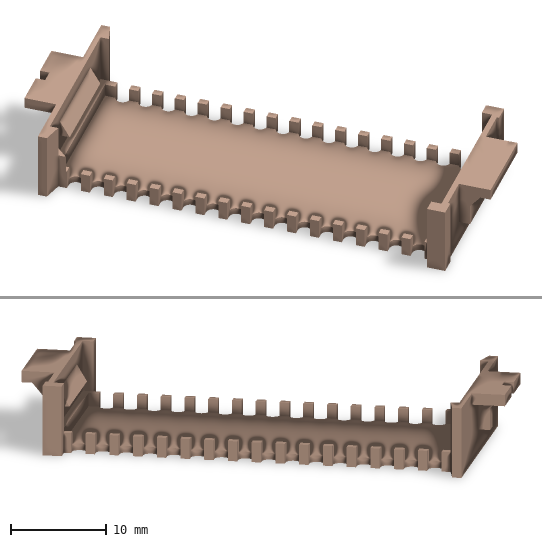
import cadquery as cq

LENGTH = 51.7
WIDTH = 21.0
HEIGHT = 7.6

WALL_OUTER_X = 22.3
WALL_THICKNESS = 0.6
WALL_INNER_X = WALL_OUTER_X - WALL_THICKNESS
WING_TIP_THICKNESS = 1.0
WING_ROOT_THICKNESS = 1.55
EAR_INNER_X = 20.55
EAR_OUTER_X = 22.6
EAR_HALF_WIDTH = 9.75
EAR_STEP_Y = 8.05

FLOOR_THICKNESS = 0.7
RIM_HEIGHT = 2.15
RIM_THICKNESS = 0.8
BODY_HALF_WIDTH = 8.35
RIM_HALF_LENGTH = WALL_INNER_X - RIM_THICKNESS
RIM_HALF_WIDTH = BODY_HALF_WIDTH - RIM_THICKNESS

SLOT_COUNT = 16
SLOT_ROW_SPAN = 38.1
SLOT_PITCH = SLOT_ROW_SPAN / (SLOT_COUNT - 1)
SLOT_RADIUS = 0.8
SLOT_CENTRE_Y = 7.8

TAB_THICKNESS = 1.25
TAB_WIDTH = 8.9
TAB_BOTTOM = HEIGHT - TAB_THICKNESS
NOTCH_DEPTH = 1.05
NOTCH_WIDTH = 1.4
RIB_BOTTOM = 2.65
RIB_SHOULDER = 5.0
RIB_OUTER_X = 23.55
RIB_TOP_X = 24.7

WEDGE_WIDTH = 10.15
WEDGE_DEPTH = 1.1
WEDGE_BOTTOM = 4.15
WEDGE_TOP = 5.95

GUSSET_LEG = 1.75
GUSSET_HEIGHT = 4.05


def block(x_range, y_range, z_range):
    """Box spanning the given limits along each axis."""
    (x0, x1), (y0, y1), (z0, z1) = x_range, y_range, z_range
    return cq.Workplane("XY").box(x1 - x0, y1 - y0, z1 - z0, centered=False).translate((x0, y0, z0))


def upright(points, height):
    """Outline in the XY plane raised from the underside."""
    return cq.Workplane("XY").polyline(points).close().extrude(height)


def side_profile(points, width):
    """Outline in the XZ plane widened equally to both sides of Y = 0."""
    return cq.Workplane("XZ").polyline(points).close().extrude(width / 2, both=True)


def slotted_tray():
    """Floor with a low rim, its long sides cut into posts by round-ended slots."""
    body_y = (-BODY_HALF_WIDTH, BODY_HALF_WIDTH)
    tray = block((-WALL_INNER_X, WALL_INNER_X), body_y, (0, RIM_HEIGHT))
    tray = tray.cut(block(
        (-RIM_HALF_LENGTH, RIM_HALF_LENGTH),
        (-RIM_HALF_WIDTH, RIM_HALF_WIDTH),
        (FLOOR_THICKNESS, RIM_HEIGHT),
    ))
    slot_end_y = BODY_HALF_WIDTH + SLOT_RADIUS
    for side in (-1, 1):
        slots = (
            cq.Workplane("XY")
            .center(0, side * (SLOT_CENTRE_Y + slot_end_y) / 2)
            .rarray(SLOT_PITCH, 0.5, SLOT_COUNT, 1)
            .slot2D(slot_end_y - SLOT_CENTRE_Y + 2 * SLOT_RADIUS, 2 * SLOT_RADIUS, 90)
            .extrude(RIM_HEIGHT)
        )
        tray = tray.cut(slots)
    return tray


def winged_wall():
    """End wall at -X whose side wings taper towards their tips."""
    half_width = WIDTH / 2
    wall = block((-WALL_OUTER_X, -WALL_INNER_X), (-half_width, half_width), (0, HEIGHT))
    for side in (-1, 1):
        wall = wall.union(upright([
            (-WALL_OUTER_X, side * BODY_HALF_WIDTH),
            (-WALL_OUTER_X + WING_ROOT_THICKNESS, side * BODY_HALF_WIDTH),
            (-WALL_OUTER_X + WING_TIP_THICKNESS, side * half_width),
            (-WALL_OUTER_X, side * half_width),
        ], HEIGHT))
    return wall


def eared_wall():
    """End wall at +X with a thick square ear on each side."""
    wall = block((WALL_INNER_X, WALL_OUTER_X), (-EAR_HALF_WIDTH, EAR_HALF_WIDTH), (0, HEIGHT))
    for side in (-1, 1):
        wall = wall.union(upright([
            (EAR_INNER_X, side * EAR_HALF_WIDTH),
            (EAR_OUTER_X, side * EAR_HALF_WIDTH),
            (EAR_OUTER_X, side * EAR_STEP_Y),
            (WALL_INNER_X, side * EAR_STEP_Y),
            (WALL_INNER_X, side * BODY_HALF_WIDTH),
            (EAR_INNER_X, side * BODY_HALF_WIDTH),
        ], HEIGHT))
    return wall


def handle(side, rib_width):
    """Tab standing out from an end wall, with its supporting rib."""
    tab = side_profile([
        (side * WALL_OUTER_X, TAB_BOTTOM),
        (side * LENGTH / 2, TAB_BOTTOM),
        (side * LENGTH / 2, HEIGHT),
        (side * WALL_OUTER_X, HEIGHT),
    ], TAB_WIDTH)
    rib = side_profile([
        (side * WALL_OUTER_X, RIB_BOTTOM),
        (side * RIB_OUTER_X, RIB_BOTTOM),
        (side * RIB_OUTER_X, RIB_SHOULDER),
        (side * RIB_TOP_X, TAB_BOTTOM),
        (side * WALL_OUTER_X, TAB_BOTTOM),
    ], rib_width)
    return tab.union(rib)


def snap_wedge(side):
    """Wedge on the inner face of an end wall, sloping inwards as it goes down."""
    return side_profile([
        (side * WALL_INNER_X, WEDGE_TOP),
        (side * (WALL_INNER_X - WEDGE_DEPTH), WEDGE_BOTTOM),
        (side * WALL_INNER_X, WEDGE_BOTTOM),
    ], WEDGE_WIDTH)


def corner_gusset():
    """Triangular post in the -X, -Y inner corner."""
    return upright([
        (-WALL_INNER_X, -BODY_HALF_WIDTH),
        (-WALL_INNER_X + GUSSET_LEG, -BODY_HALF_WIDTH),
        (-WALL_INNER_X, -BODY_HALF_WIDTH + GUSSET_LEG),
    ], GUSSET_HEIGHT)


def tab_notch():
    """Key notch in the free edge of the -X tab."""
    return block(
        (-LENGTH / 2, -LENGTH / 2 + NOTCH_DEPTH),
        (-NOTCH_WIDTH / 2, NOTCH_WIDTH / 2),
        (TAB_BOTTOM, HEIGHT),
    )


result = slotted_tray().union(winged_wall()).union(eared_wall()).union(corner_gusset())
for end, end_rib_width in ((-1, NOTCH_WIDTH), (1, TAB_WIDTH)):
    result = result.union(handle(end, end_rib_width)).union(snap_wedge(end))
result = result.cut(tab_notch())